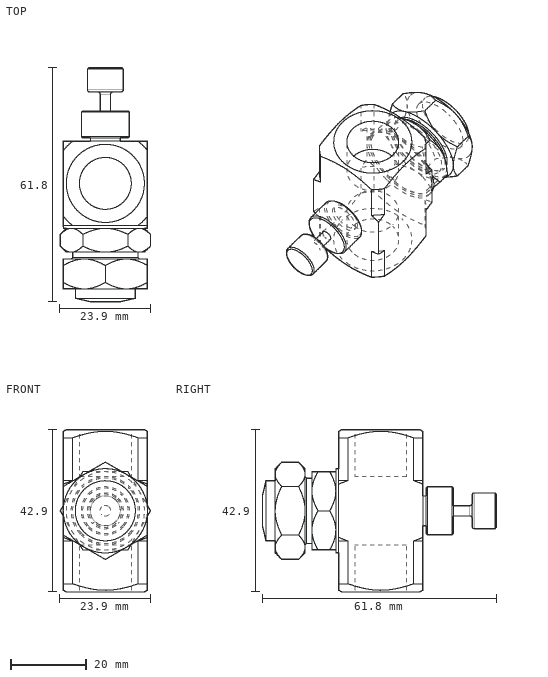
import cadquery as cq
import math

block_width = 22.25
block_height = 42.9
corner_diameter = 28.2
end_face_diameter = 20.65
band_half_height = 8.0
block_bevel = math.tan(math.radians(30))
port_diameter = 13.7
port_depth = 12.35

neck_diameter = 7.9
neck_length = 0.85
collar_diameter = 12.7
collar_length = 7.15
stem_diameter = 2.8
stem_length = 4.95
stem_fillet = 0.6
knob_diameter = 9.5
knob_length = 6.4
knob_chamfer = 0.4

flange_diameter = 22.25
flange_length = 0.75
lock_nut_corners = 23.85
lock_nut_length = 6.3
thread_diameter = 17.3
thread_length = 1.8
flare_size = 0.4
cap_nut_flats = 22.25
cap_nut_length = 7.9
cap_diameter = 15.9
cap_length = 2.5
cap_tip_diameter = 7.9
cap_tip_length = 0.9

half_width = block_width / 2
overlap = 0.6


def cylinder_y(diameter, start, length):
    """Cylinder on the Y axis, from y = start toward +Y."""
    return cq.Workplane("XZ", origin=(0, start, 0)).circle(diameter / 2).extrude(-length)


def cone_y(start_diameter, end_diameter, start, length):
    """Truncated cone on the Y axis, from y = start toward -Y."""
    return (
        cq.Workplane("XZ", origin=(0, start, 0))
        .circle(start_diameter / 2)
        .workplane(offset=length)
        .circle(end_diameter / 2)
        .loft()
    )


def make_block():
    """Square bar trimmed by a turned profile that bevels its ends and the middle band."""
    top = block_height / 2
    end_radius = end_face_diameter / 2
    corner_radius = corner_diameter / 2
    band_radius = block_width / math.sqrt(2) + overlap
    shoulder = top - (corner_radius - end_radius) * block_bevel
    band_edge = band_half_height - (band_radius - corner_radius) * block_bevel
    profile = (
        cq.Workplane("XZ")
        .moveTo(0, -top)
        .lineTo(end_radius, -top)
        .lineTo(corner_radius, -shoulder)
        .lineTo(corner_radius, -band_half_height)
        .lineTo(band_radius, -band_edge)
        .lineTo(band_radius, band_edge)
        .lineTo(corner_radius, band_half_height)
        .lineTo(corner_radius, shoulder)
        .lineTo(end_radius, top)
        .lineTo(0, top)
        .close()
    )
    turned = profile.revolve(360, (0, 0, 0), (0, 1, 0))
    block = cq.Workplane().box(block_width, block_width, block_height).intersect(turned)
    for face in (">Z", "<Z"):
        block = block.faces(face).workplane(centerOption="CenterOfBoundBox").hole(port_diameter, port_depth)
    return block


def make_nut(flats, end, length, turn):
    """Hexagon nut whose corners are bevelled at 45 degrees from its inscribed circle."""
    corners = flats / math.cos(math.pi / 6)
    bevel = (corners - flats) / 2
    hexagon = (
        cq.Workplane("XZ", origin=(0, end, 0))
        .polygon(6, corners)
        .extrude(-length)
        .rotate((0, 0, 0), (0, 1, 0), turn)
    )
    return hexagon.intersect(cylinder_y(corners, end, length).edges().chamfer(bevel))


def make_knob_side():
    """Neck, collar, thin stem and knob, stacked outward along +Y."""
    collar_start = half_width + neck_length
    stem_start = collar_start + collar_length
    knob_start = stem_start + stem_length
    neck = cylinder_y(neck_diameter, half_width - overlap, neck_length + overlap)
    collar = cylinder_y(collar_diameter, collar_start, collar_length).edges().chamfer(knob_chamfer)
    stem = cylinder_y(stem_diameter, stem_start - overlap, stem_length + overlap)
    knob = cylinder_y(knob_diameter, knob_start, knob_length).edges().chamfer(knob_chamfer)
    handle = stem.union(knob)
    root = cq.selectors.BoxSelector(
        (-stem_diameter, knob_start - stem_fillet, -stem_diameter),
        (stem_diameter, knob_start + stem_fillet, stem_diameter),
    )
    handle = handle.edges("%CIRCLE").edges(root).fillet(stem_fillet)
    return neck.union(collar).union(handle)


def make_nut_side():
    """Flange, lock nut, bare thread, cap nut and coned cap, stacked outward along -Y."""
    flange_end = -half_width - flange_length
    lock_nut_end = flange_end - lock_nut_length
    thread_end = lock_nut_end - thread_length
    cap_nut_end = thread_end - cap_nut_length
    cap_end = cap_nut_end - cap_length
    lock_nut_flats = lock_nut_corners * math.cos(math.pi / 6)
    flange = cylinder_y(flange_diameter, flange_end, flange_length + overlap)
    lock_nut = make_nut(lock_nut_flats, lock_nut_end, lock_nut_length, 0)
    thread = cylinder_y(thread_diameter, thread_end - overlap, thread_length + 2 * overlap)
    cap_nut = make_nut(cap_nut_flats, cap_nut_end, cap_nut_length, 30)
    cap = cylinder_y(cap_diameter, cap_end, cap_length + overlap)
    tip = cone_y(cap_diameter, cap_tip_diameter, cap_end, cap_tip_length)
    flare_start = thread_end + flare_size
    flare = cone_y(thread_diameter, thread_diameter + 2 * flare_size, flare_start, flare_size)
    return flange.union(lock_nut).union(thread).union(flare).union(cap_nut).union(cap).union(tip)


result = make_block().union(make_knob_side()).union(make_nut_side())